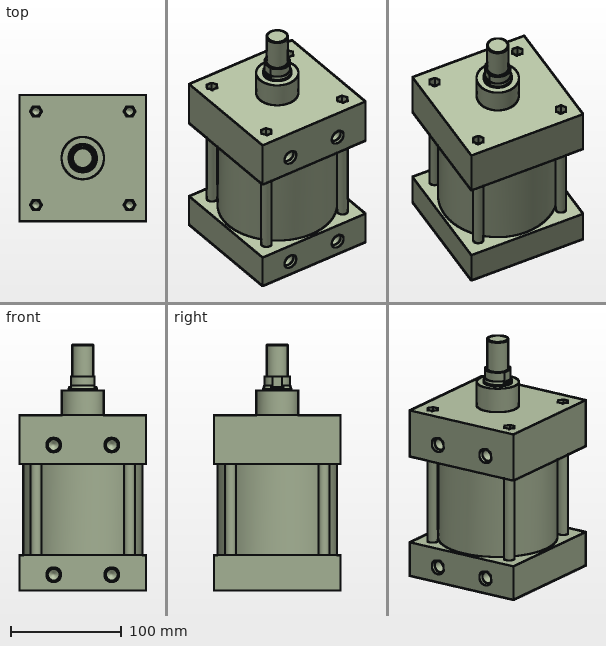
import cadquery as cq
import math

total_height = 222.2
plate_side = 114.2
rear_plate_height = 32.2
head_bottom_z = 114.2
head_height = 44.2
head_top_z = head_bottom_z + head_height

tube_diameter = 108.0
tie_rod_diameter = 9.5
tie_rod_offset = 42.2
bolt_head_diameter = 17.5
bolt_head_height = 9.5

gland_diameter = 69.8
gland_depth = 10.0
boss_diameter = 38.2
boss_height = 22.5
boss_top_z = head_top_z + boss_height

socket_across_flats = 9.1
socket_depth = 9.0
socket_cone_diameter = 8.2

port_diameter = 11.0
port_mouth_diameter = 13.1
port_mouth_depth = 3.1
port_depth = 15.1
port_offset_x = 26.2
rear_port_z = 14.5
head_port_z = 131.5
drill_point_angle = 118.0

rod_diameter = 25.5
rod_collar_height = 1.3
rod_neck_diameter = 23.3
rod_cone_height = 3.0
neck_top_z = 193.5
flat_width = 21.5
flat_bottom_z = 184.0
thread_diameter = 19.3
thread_chamfer = 0.7


def cylinder(diameter, bottom_z, top_z):
    """Upright cylinder on the Z axis."""
    return cq.Workplane("XY").workplane(offset=bottom_z).circle(diameter / 2).extrude(top_z - bottom_z)


def plate(bottom_z, height):
    """Square end plate centred on the Z axis."""
    return cq.Workplane("XY").workplane(offset=bottom_z).rect(plate_side, plate_side).extrude(height)


def drill_point_length(radius):
    """Height of the cone that a drill leaves at the bottom of a blind hole."""
    return radius / math.tan(math.radians(drill_point_angle / 2))


def port_hole():
    """Blind port with a tapered mouth and a drill point, running down -Z from the origin."""
    radius = port_diameter / 2
    profile = [
        (0, 0),
        (port_mouth_diameter / 2, 0),
        (radius, -port_mouth_depth),
        (radius, -port_depth),
        (0, -port_depth - drill_point_length(radius)),
    ]
    return cq.Workplane("XZ").polyline(profile).close().revolve(360, (0, 0, 0), (0, 1, 0))


def hexagon_socket():
    """Hexagon socket with a conical bottom, running down -Z from the origin, two corners along X."""
    across_corners = socket_across_flats / math.cos(math.radians(30))
    cone_radius = socket_cone_diameter / 2
    cone_profile = [
        (0, -socket_depth),
        (cone_radius, -socket_depth),
        (0, -socket_depth - drill_point_length(cone_radius)),
    ]
    cone = cq.Workplane("XZ").polyline(cone_profile).close().revolve(360, (0, 0, 0), (0, 1, 0))
    return cq.Workplane("XY").polygon(6, across_corners).extrude(-socket_depth).union(cone)


def tie_rod_bolt():
    """Tie rod with its round head flush with the top of the head plate."""
    shank = cylinder(tie_rod_diameter, rear_plate_height, head_top_z - bolt_head_height)
    return shank.union(cylinder(bolt_head_diameter, head_top_z - bolt_head_height, head_top_z))


def build_housing():
    """End plates, tube, gland and tie rods as one solid; flush faces keep their boundary circles."""
    gland = cylinder(gland_diameter, head_top_z - gland_depth, head_top_z)
    boss = cylinder(boss_diameter, head_top_z, boss_top_z)
    housing = plate(0, rear_plate_height)
    housing = housing.union(cylinder(tube_diameter, rear_plate_height, head_bottom_z))
    housing = housing.union(plate(head_bottom_z, head_height))
    housing = housing.union(gland, clean=False).union(boss, clean=False)

    socket = hexagon_socket()
    for x in (-tie_rod_offset, tie_rod_offset):
        for y in (-tie_rod_offset, tie_rod_offset):
            housing = housing.union(tie_rod_bolt().translate((x, y, 0)), clean=False)
            housing = housing.cut(socket.translate((x, y, head_top_z)), clean=False)

    port = port_hole().rotate((0, 0, 0), (1, 0, 0), 90)
    for x in (-port_offset_x, port_offset_x):
        for z in (rear_port_z, head_port_z):
            housing = housing.cut(port.translate((x, -plate_side / 2, z)), clean=False)
    return housing


def build_piston_rod():
    """Stepped rod standing on the boss, with two wrench flats on the neck."""
    collar_top_z = boss_top_z + rod_collar_height
    thread_radius = thread_diameter / 2
    profile = [
        (0, boss_top_z),
        (rod_diameter / 2, boss_top_z),
        (rod_diameter / 2, collar_top_z),
        (rod_neck_diameter / 2, collar_top_z + rod_cone_height),
        (rod_neck_diameter / 2, neck_top_z),
        (thread_radius, neck_top_z),
        (thread_radius, total_height - thread_chamfer),
        (thread_radius - thread_chamfer, total_height),
        (0, total_height),
    ]
    rod = cq.Workplane("XZ").polyline(profile).close().revolve(360, (0, 0, 0), (0, 1, 0))

    flat_block = (
        cq.Workplane("XY").workplane(offset=flat_bottom_z)
        .rect(rod_diameter, rod_diameter)
        .extrude(neck_top_z - flat_bottom_z)
    )
    block_centre_x = (flat_width + rod_diameter) / 2
    for x in (-block_centre_x, block_centre_x):
        rod = rod.cut(flat_block.translate((x, 0, 0)))
    return rod


housing = build_housing()
piston_rod = build_piston_rod()
result = cq.Compound.makeCompound([housing.solids().val(), piston_rod.solids().val()])